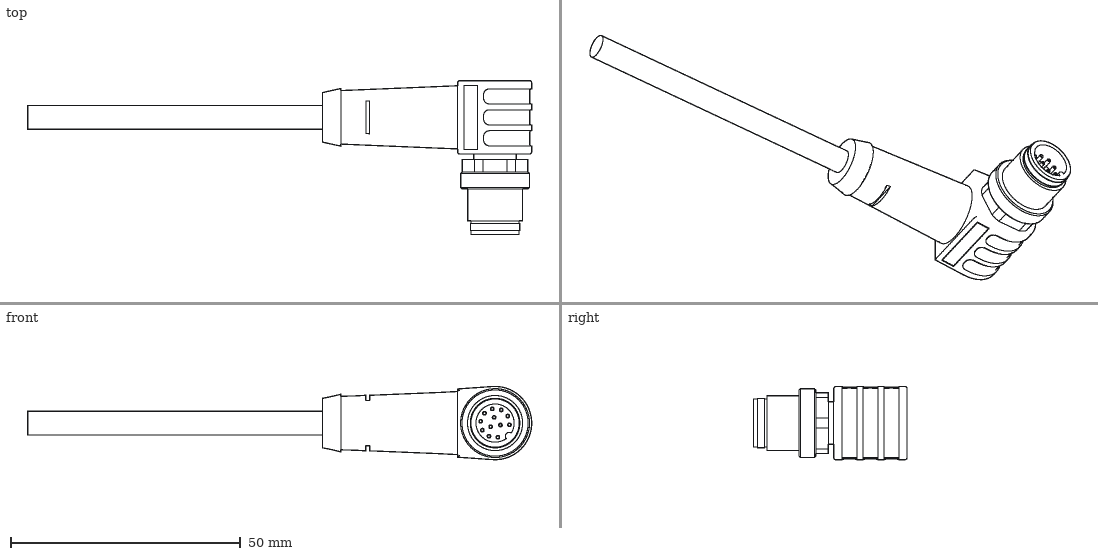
import cadquery as cq
import math


cable_end_x = -101.68
cable_dia = 5.2
boot_end_x = -37.6
boot_collar_x = -33.55
boot_end_dia = 10.8
boot_collar_dia = 12.6
boot_neck_dia = 11.7
boot_root_dia = 13.8
flex_slot_x = -27.7
flex_slot_width = 0.8
flex_slot_floor = 4.95

nose_radius = 8.0
body_taper_deg = 4.0
body_back_x = -8.15
body_half_length = 8.0
body_edge_fillet = 0.5

grip_count = 3
grip_pitch = 4.56
grip_width = 3.3
grip_start_x = -2.5
grip_corner_radius = 1.3
grip_depth = 0.4
grip_floor_fillet = 0.3
panel_x_min = -6.8
panel_x_max = -3.8
panel_length = 13.9
panel_depth = 0.2

nut_start_y = -9.15
flange_start_y = -11.9
flange_end_y = -15.55
sleeve_end_y = -22.55
groove_end_y = -23.1
rim_end_y = -24.6
plug_end_y = -25.5
neck_dia = 9.3
nut_across_flats = 13.3
nut_corner_dia = 14.3
nut_turn_deg = 30.0
flange_dia = 15.0
flange_chamfer = 0.3
sleeve_dia = 12.0
tip_dia = 10.5
rim_dia = 10.8

cavity_dia = 8.3
cavity_depth = 5.0
cavity_floor_y = plug_end_y + cavity_depth
pin_dia = 0.8
pin_tip_dia = 0.6
pin_length = 2.5
key_angle_deg = -43.0
key_dia = 1.6
outer_pin_count = 9
outer_pin_spacing_deg = 36.0
outer_pin_radius = 3.15
inner_pin_count = 3
inner_pin_spacing_deg = 120.0
inner_pin_radius = 1.25
inner_pin_start_deg = 100.0


def body_prism(inset, half_length):
    """Body outline moved inward by inset and extruded equally to both sides along Y."""
    radius = nose_radius - inset
    taper = math.radians(body_taper_deg)
    tangent_x = -radius * math.sin(taper)
    tangent_z = radius * math.cos(taper)
    back_z = tangent_z - (tangent_x - body_back_x) * math.tan(taper)
    return (
        cq.Workplane("XZ")
        .moveTo(body_back_x, -back_z)
        .lineTo(tangent_x, -tangent_z)
        .threePointArc((radius, 0), (tangent_x, tangent_z))
        .lineTo(body_back_x, back_z)
        .close()
        .extrude(half_length, both=True)
    )


def box_between(x_min, x_max, y_center, y_width):
    """Box between two X stations, tall enough to pass through the body."""
    return cq.Workplane("XY").box(
        x_max - x_min, y_width, 4 * nose_radius, centered=(False, True, True)
    ).translate((x_min, y_center, 0))


def grip_cutter(y_center):
    """Cutter for one finger grip that wraps the nose from flat to flat, with rounded floor edges."""
    slot = box_between(grip_start_x, 2 * nose_radius, y_center, grip_width)
    slot = slot.edges("|Z and <X").fillet(grip_corner_radius)
    cutter = slot.cut(body_prism(grip_depth, 2 * body_half_length))
    floor_corner = cq.Vector(nose_radius, nose_radius, nose_radius)
    floor_zone = cq.selectors.BoxSelector(floor_corner, floor_corner * -1)
    return cutter.edges(floor_zone).fillet(grip_floor_fillet)


def make_body():
    body = body_prism(0, body_half_length)
    body = body.faces("<Y or >Y").edges().fillet(body_edge_fillet)
    for index in range(grip_count):
        y_center = (index - (grip_count - 1) / 2) * grip_pitch
        body = body.cut(grip_cutter(y_center))
    panel = box_between(panel_x_min, panel_x_max, 0, panel_length)
    return body.cut(panel.cut(body_prism(panel_depth, 2 * body_half_length)))


def make_boot():
    boot = (
        cq.Workplane("XY")
        .moveTo(boot_end_x, 0)
        .lineTo(boot_end_x, boot_end_dia / 2)
        .lineTo(boot_collar_x, boot_collar_dia / 2)
        .lineTo(boot_collar_x, boot_neck_dia / 2)
        .lineTo(body_back_x, boot_root_dia / 2)
        .lineTo(body_back_x, 0)
        .close()
        .revolve(360, (0, 0, 0), (1, 0, 0))
    )
    for side in (1, -1):
        slot = cq.Workplane("XY").box(flex_slot_width, boot_root_dia, boot_root_dia)
        slot_center_z = side * (flex_slot_floor + boot_root_dia / 2)
        boot = boot.cut(slot.translate((flex_slot_x, 0, slot_center_z)))
    return boot


def make_cable():
    return cq.Workplane("YZ", origin=(cable_end_x, 0, 0)).circle(cable_dia / 2).extrude(-cable_end_x)


def plug_cylinder(diameter, start_y, end_y):
    return cq.Workplane("XZ", origin=(0, start_y, 0)).circle(diameter / 2).extrude(start_y - end_y)


def make_nut():
    """Hexagon with flats facing up and down and its corners turned round."""
    hexagon = (
        cq.Workplane("XZ", origin=(0, nut_start_y, 0))
        .polygon(6, nut_across_flats, circumscribed=True)
        .extrude(nut_start_y - flange_start_y)
        .rotate((0, 0, 0), (0, 1, 0), nut_turn_deg)
    )
    return hexagon.intersect(plug_cylinder(nut_corner_dia, nut_start_y, flange_start_y))


def pin(ring_radius, angle_deg):
    """Contact pin with a chamfered tip, standing on the cavity floor."""
    angle = math.radians(angle_deg)
    return (
        cq.Workplane("XZ", origin=(0, cavity_floor_y, 0))
        .center(ring_radius * math.cos(angle), ring_radius * math.sin(angle))
        .circle(pin_dia / 2)
        .extrude(pin_length)
        .faces("<Y")
        .chamfer((pin_dia - pin_tip_dia) / 2)
    )


def make_key():
    """Round coding rib on the cavity wall, flush with the plug end."""
    angle = math.radians(key_angle_deg)
    rib = (
        cq.Workplane("XZ", origin=(0, cavity_floor_y, 0))
        .center(cavity_dia / 2 * math.cos(angle), cavity_dia / 2 * math.sin(angle))
        .circle(key_dia / 2)
        .extrude(cavity_depth)
    )
    return rib.intersect(plug_cylinder(tip_dia, cavity_floor_y, plug_end_y))


def make_plug():
    flange = plug_cylinder(flange_dia, flange_start_y, flange_end_y).faces("<Y or >Y").chamfer(flange_chamfer)
    plug = plug_cylinder(neck_dia, 0, nut_start_y)
    plug = plug.union(make_nut())
    plug = plug.union(flange)
    plug = plug.union(plug_cylinder(sleeve_dia, flange_end_y, sleeve_end_y))
    plug = plug.union(plug_cylinder(tip_dia, sleeve_end_y, plug_end_y))
    plug = plug.union(plug_cylinder(rim_dia, groove_end_y, rim_end_y))
    plug = plug.cut(plug_cylinder(cavity_dia, cavity_floor_y, plug_end_y))
    plug = plug.union(make_key())
    for index in range(outer_pin_count):
        offset_from_middle = (index - (outer_pin_count - 1) / 2) * outer_pin_spacing_deg
        plug = plug.union(pin(outer_pin_radius, key_angle_deg + 180 + offset_from_middle))
    for index in range(inner_pin_count):
        plug = plug.union(pin(inner_pin_radius, inner_pin_start_deg + index * inner_pin_spacing_deg))
    return plug


result = make_body().union(make_boot()).union(make_cable()).union(make_plug())